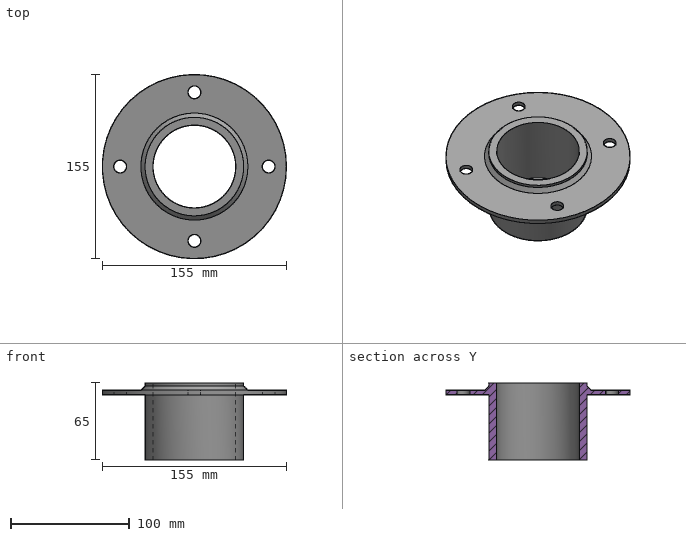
import cadquery as cq

tube_outer_diameter = 83.0
tube_bore_diameter = 69.5
tube_length = 65.0

flange_diameter = 155.0
flange_thickness = 3.9
tube_above_flange = 6.0
flange_top = tube_length - tube_above_flange
flange_bottom = flange_top - flange_thickness

weld_leg = 3.5

bolt_hole_diameter = 10.5
bolt_circle_diameter = 125.0
bolt_hole_count = 4


def make_tube():
    return cq.Workplane("XY").circle(tube_outer_diameter / 2).extrude(tube_length)


def make_flange():
    return (
        cq.Workplane("XY", origin=(0, 0, flange_bottom))
        .circle(flange_diameter / 2)
        .extrude(flange_thickness)
        .polarArray(bolt_circle_diameter / 2, 0, 360, bolt_hole_count)
        .circle(bolt_hole_diameter / 2)
        .cutThruAll()
    )


def make_weld():
    tube_radius = tube_outer_diameter / 2
    return (
        cq.Workplane("XZ")
        .moveTo(0, flange_top)
        .lineTo(tube_radius + weld_leg, flange_top)
        .lineTo(tube_radius, flange_top + weld_leg)
        .lineTo(0, flange_top + weld_leg)
        .close()
        .revolve(360, (0, 0, 0), (0, 1, 0))
    )


def make_bore():
    return cq.Workplane("XY").circle(tube_bore_diameter / 2).extrude(tube_length)


result = make_tube().union(make_flange()).union(make_weld()).cut(make_bore())